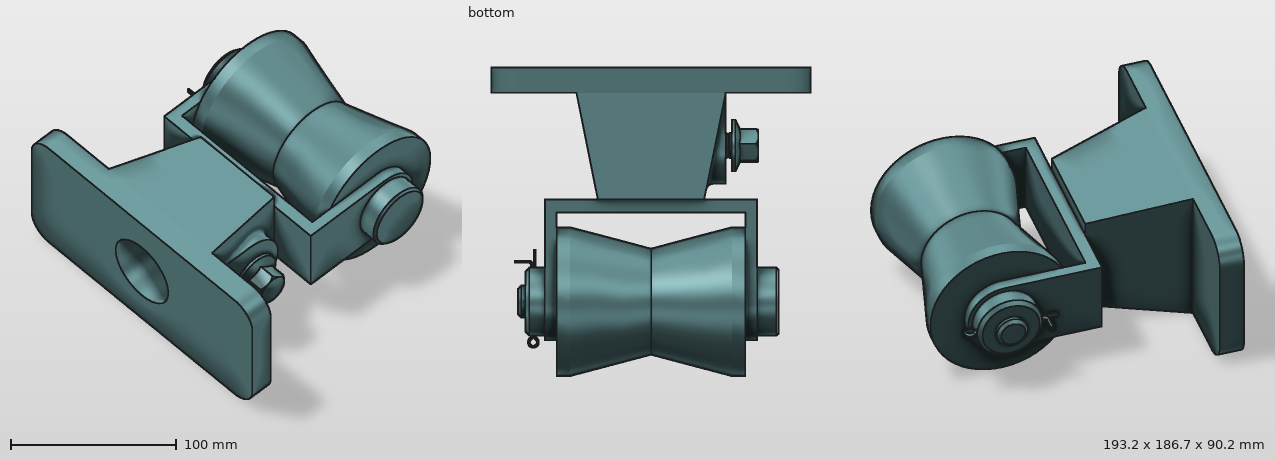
import cadquery as cq
import math


plate_length = 193.2
plate_height = 90.2
plate_thickness = 15.5
plate_corner_radius = 15.5
pedestal_top_y = 79.8
pedestal_bottom_width = plate_height
pedestal_top_width = 64.3
boss_radius = 23.2
boss_face_x = pedestal_bottom_width / 2
boss_fillet = 4.0
bolt_y = 47.3
seam_margin = 1.0

stem_radius = 23.0
stem_chamfer = 3.7
stem_end_y = 23.2
yoke_width = 46.8
yoke_inner_length = 114.0
yoke_arm_thickness = 7.1
yoke_web_thickness = 8.1
yoke_outer_x = yoke_inner_length / 2 + yoke_arm_thickness

roller_radius = 45.0
roller_waist_radius = 32.0
roller_rim_width = 8.1
total_length_y = 186.7
axle_y = total_length_y - roller_radius

axle_radius = 9.9
axle_chamfer = 2.1
axle_end_x = -80.4
head_radius = 20.7
head_width = 13.1
head_chamfer = 1.5
collar_width = 11.8
collar_chamfer = 2.5

wire_radius = 1.25
leg_gap = 0.5
cotter_x = -71.1
eye_centre_y = 166.2
eye_radius = 2.7
eye_neck_radius = 1.5
straight_leg_end_y = 110.1
bent_leg_y = 117.5
bent_leg_end_x = -82.3
leg_bend_radius = 2.0
cotter_hole_radius = leg_gap / 2 + wire_radius

thread_radius = 7.7
thread_depth = 1.2
thread_pitch = 2.1
neck_length = 1.25
flange_start_x = 48.9
flange_radius = 15.7
flange_rim_width = 2.1
flange_top_radius = 9.7
flange_height = 5.0
hex_corner_radius = 11.0
hex_turn = 6.0
hex_end_x = 65.0
hex_chamfer = 1.4


def cylinder_x(radius, x_start, x_end, y_centre):
    """Cylinder parallel to X at height Y."""
    start = cq.Workplane("YZ", origin=(x_start, y_centre, 0))
    return start.circle(radius).extrude(x_end - x_start)


def cylinder_y(radius, x_centre, y_start, y_end):
    """Cylinder parallel to Y; the XZ plane faces -Y, so it extrudes backwards."""
    start = cq.Workplane("XZ", origin=(x_centre, y_start, 0))
    return start.circle(radius).extrude(y_start - y_end)


def turned_x(profile, y_centre):
    """Turn an (X, radius) profile around an axis parallel to X at height Y."""
    outline = cq.Workplane("XY", origin=(0, y_centre, 0)).polyline(profile).close()
    return outline.revolve(360, (0, 0, 0), (1, 0, 0))


def make_pedestal():
    """Tapered pedestal with the clamp boss filleted onto its +X face.

    Pedestal and boss are first built oversize so the fillet can run out past
    the boss face and the plate, then trimmed back to both.
    """
    taper_height = pedestal_top_y - plate_thickness
    slope = (pedestal_bottom_width - pedestal_top_width) / taper_height
    root_width = pedestal_bottom_width + slope * plate_thickness
    pedestal = (
        cq.Workplane("XZ")
        .rect(root_width, root_width)
        .workplane(offset=-pedestal_top_y)
        .rect(pedestal_top_width, pedestal_top_width)
        .loft(combine=True)
    )

    boss_length = root_width
    round_end = cylinder_x(boss_radius, 0, boss_length, bolt_y)
    straight_part = cq.Workplane("XY").box(
        boss_length, bolt_y, 2 * boss_radius, centered=(False, False, True)
    )
    boss = round_end.union(straight_part)
    seam = cq.selectors.BoxSelector(
        (pedestal_top_width / 2, plate_thickness / 2, -boss_radius - seam_margin),
        (root_width / 2, pedestal_top_y - seam_margin, boss_radius + seam_margin),
    )
    joined = pedestal.union(boss).edges(seam).fillet(boss_fillet)

    kept = cq.Workplane("XY", origin=(-root_width / 2, plate_thickness, 0)).box(
        root_width / 2 + boss_face_x, taper_height, root_width, centered=(False, False, True)
    )
    return joined.intersect(kept)


def make_base():
    plate = (
        cq.Workplane("XZ")
        .rect(plate_length, plate_height)
        .extrude(-plate_thickness)
        .edges("|Y")
        .fillet(plate_corner_radius)
    )
    stem_hole = cylinder_y(stem_radius, 0, 0, pedestal_top_y)
    bolt_hole = cylinder_x(thread_radius, 0, boss_face_x, bolt_y)
    return plate.union(make_pedestal()).cut(stem_hole).cut(bolt_hole)


def make_yoke():
    web_top_y = pedestal_top_y + yoke_web_thickness
    block = cq.Workplane("XY", origin=(0, pedestal_top_y, 0)).box(
        2 * yoke_outer_x, axle_y - pedestal_top_y, yoke_width, centered=(True, False, True)
    )
    rounded_ends = cylinder_x(yoke_width / 2, -yoke_outer_x, yoke_outer_x, axle_y)
    opening = cq.Workplane("XY", origin=(0, web_top_y, 0)).box(
        yoke_inner_length, total_length_y, 2 * yoke_width, centered=(True, False, True)
    )
    axle_hole = cylinder_x(axle_radius, -yoke_outer_x, yoke_outer_x, axle_y)
    stem = cylinder_y(stem_radius, 0, stem_end_y, pedestal_top_y).faces("<Y").chamfer(stem_chamfer)
    return block.union(rounded_ends).cut(opening).cut(axle_hole).union(stem)


def make_roller():
    end_x = yoke_inner_length / 2
    rim_x = end_x - roller_rim_width
    profile = [
        (-end_x, axle_radius),
        (-end_x, roller_radius),
        (-rim_x, roller_radius),
        (0, roller_waist_radius),
        (rim_x, roller_radius),
        (end_x, roller_radius),
        (end_x, axle_radius),
    ]
    return turned_x(profile, axle_y)


def make_cotter_hole():
    return cylinder_y(cotter_hole_radius, cotter_x, axle_y - head_radius, axle_y + head_radius)


def make_axle():
    shaft = cylinder_x(axle_radius, axle_end_x, yoke_outer_x, axle_y).faces("<X").chamfer(axle_chamfer)
    head_end_x = yoke_outer_x + head_width
    head = cylinder_x(head_radius, yoke_outer_x, head_end_x, axle_y).faces(">X").chamfer(head_chamfer)
    return shaft.union(head).cut(make_cotter_hole())


def make_collar():
    outer_x = -yoke_outer_x - collar_width
    ring = cylinder_x(head_radius, outer_x, -yoke_outer_x, axle_y).faces("<X").chamfer(collar_chamfer)
    bore = cylinder_x(axle_radius, outer_x, -yoke_outer_x, axle_y)
    return ring.cut(bore).cut(make_cotter_hole())


def make_cotter_pin():
    """Sweep the half-round wire up one leg, around the eye and down the bent leg."""
    leg_offset = (leg_gap + wire_radius) / 2
    right_x = cotter_x + leg_offset
    left_x = cotter_x - leg_offset

    neck_offset = leg_offset + eye_neck_radius
    centre_distance = eye_radius + eye_neck_radius
    neck_y = eye_centre_y - math.sqrt(centre_distance**2 - neck_offset**2)
    join_dx = eye_radius * neck_offset / centre_distance
    join_y = eye_centre_y - eye_radius * (eye_centre_y - neck_y) / centre_distance

    path = (
        cq.Workplane("XY")
        .moveTo(right_x, straight_leg_end_y)
        .lineTo(right_x, neck_y)
        .tangentArcPoint((cotter_x + join_dx, join_y), relative=False)
        .threePointArc((cotter_x, eye_centre_y + eye_radius), (cotter_x - join_dx, join_y))
        .tangentArcPoint((left_x, neck_y), relative=False)
        .lineTo(left_x, bent_leg_y + leg_bend_radius)
        .tangentArcPoint((left_x - leg_bend_radius, bent_leg_y), relative=False)
        .lineTo(bent_leg_end_x, bent_leg_y)
    )
    flat_x = -wire_radius / 2
    wire_section = (
        cq.Workplane("XZ", origin=(right_x, straight_leg_end_y, 0))
        .moveTo(flat_x, -wire_radius)
        .threePointArc((flat_x + wire_radius, 0), (flat_x, wire_radius))
        .close()
    )
    return wire_section.sweep(path)


def make_bolt():
    rim_x = flange_start_x + flange_rim_width
    flange_top_x = flange_start_x + flange_height
    flange_profile = [
        (flange_start_x, 0),
        (flange_start_x, flange_radius),
        (rim_x, flange_radius),
        (flange_top_x, flange_top_radius),
        (flange_top_x, 0),
    ]
    flange = turned_x(flange_profile, bolt_y)

    hexagon = (
        cq.Workplane("YZ", origin=(flange_start_x, bolt_y, 0))
        .transformed(rotate=(0, 0, 90 - hex_turn))
        .polygon(6, 2 * hex_corner_radius)
        .extrude(hex_end_x - flange_start_x)
    )
    head_limit = cylinder_x(hex_corner_radius, flange_start_x, hex_end_x, bolt_y)
    head_limit = head_limit.faces(">X").chamfer(hex_chamfer)
    shank = cylinder_x(thread_radius, stem_radius, flange_start_x, bolt_y)
    bolt = shank.union(flange).union(hexagon.intersect(head_limit))

    thread_start_x = flange_start_x - neck_length
    groove_count = int((thread_start_x - stem_radius) / thread_pitch)
    for index in range(groove_count):
        groove_x = thread_start_x - (index + 0.5) * thread_pitch
        groove_profile = [
            (groove_x - thread_pitch / 2, thread_radius),
            (groove_x, thread_radius - thread_depth),
            (groove_x + thread_pitch / 2, thread_radius),
        ]
        bolt = bolt.cut(turned_x(groove_profile, bolt_y))
    return bolt


base = make_base()
yoke = make_yoke()
roller = make_roller()
axle = make_axle()
collar = make_collar()
cotter_pin = make_cotter_pin()
clamp_bolt = make_bolt()

result = cq.Compound.makeCompound(
    [
        base.val(),
        yoke.val(),
        roller.val(),
        axle.val(),
        collar.val(),
        cotter_pin.val(),
        clamp_bolt.val(),
    ]
)